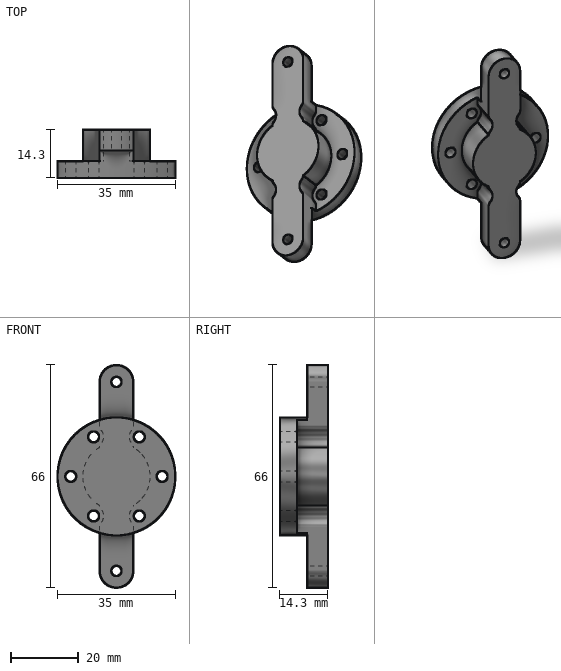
import cadquery as cq
import math

length = 66.0
flange_diameter = 35.0
flange_thickness = 5.0
depth = 14.3
hub_radius = 9.95
arm_width = 10.0
arm_thickness = 6.2

arm_hole_diameter = 3.0
flange_hole_diameter = 3.2
bolt_circle_radius = 13.5
bolt_count = 6

relief_radius = 3.0
relief_blend_radius = 2.0

flange_radius = flange_diameter / 2
arm_half_width = arm_width / 2
arm_hole_z = length / 2 - arm_half_width
hub_height = depth - flange_thickness
bolt_x = bolt_circle_radius * math.cos(math.radians(60))
bolt_z = bolt_circle_radius * math.sin(math.radians(60))


def plane_at(y):
    """Plane at the given Y, with local axes X and Z; extrude by a negative length to go toward +Y."""
    return cq.Workplane("XZ", origin=(0, y, 0))


def make_arms():
    """Long bar with round ends; its front is cut back outside the flange radius."""
    bar = plane_at(flange_thickness).slot2D(length, arm_width, 90).extrude(-hub_height)
    core = plane_at(0).circle(flange_radius).extrude(-depth)
    back = plane_at(depth - arm_thickness).rect(length, length).extrude(-arm_thickness)
    return bar.intersect(core.union(back))


def make_relief(side, end):
    """Notch concentric with a bolt hole, running into the arm side through two convex blends."""
    blend_x = arm_half_width - relief_blend_radius
    center_distance = relief_radius + relief_blend_radius
    blend_rise = math.sqrt(center_distance**2 - (bolt_x - blend_x) ** 2)
    share = relief_radius / center_distance
    tangent_x = bolt_x + (blend_x - bolt_x) * share
    tangent_rise = blend_rise * share
    mid_angle = math.atan2(blend_rise - tangent_rise, tangent_x - blend_x) / 2
    mid_x = blend_x + relief_blend_radius * math.cos(mid_angle)
    mid_rise = blend_rise - relief_blend_radius * math.sin(mid_angle)

    def point(x, rise):
        return side * x, end * (bolt_z + rise)

    return (
        plane_at(flange_thickness)
        .moveTo(*point(arm_half_width, blend_rise))
        .threePointArc(point(mid_x, mid_rise), point(tangent_x, tangent_rise))
        .threePointArc(point(bolt_x - relief_radius, 0), point(tangent_x, -tangent_rise))
        .threePointArc(point(mid_x, -mid_rise), point(arm_half_width, -blend_rise))
        .close()
        .extrude(-hub_height)
    )


flange = plane_at(0).circle(flange_radius).extrude(-flange_thickness)
hub = plane_at(flange_thickness).circle(hub_radius).extrude(-hub_height)
arms = make_arms()
for side in (-1, 1):
    for end in (-1, 1):
        arms = arms.cut(make_relief(side, end))

flange_holes = (
    plane_at(0)
    .polarArray(bolt_circle_radius, 0, 360, bolt_count)
    .circle(flange_hole_diameter / 2)
    .extrude(-flange_thickness)
)
arm_holes = (
    plane_at(0)
    .pushPoints([(0, arm_hole_z), (0, -arm_hole_z)])
    .circle(arm_hole_diameter / 2)
    .extrude(-depth)
)

result = flange.union(hub).union(arms).cut(flange_holes).cut(arm_holes)